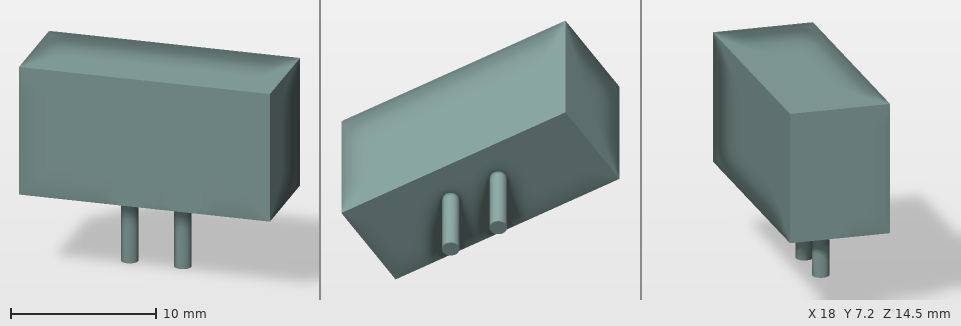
import cadquery as cq

housing_length = 18.01
housing_width = 7.2
housing_height = 9.4

total_height = 14.5
pin_length = total_height - housing_height
pin_diameter = 1.2
pin_spacing = 3.82
pin_row_y = -0.8


def make_housing():
    """Block with its underside on the plane Z = 0."""
    return cq.Workplane("XY").box(
        housing_length, housing_width, housing_height, centered=(True, True, False)
    )


def make_pin(x):
    """Round pin hanging down from the underside of the housing."""
    return cq.Workplane("XY").center(x, pin_row_y).circle(pin_diameter / 2).extrude(-pin_length)


housing = make_housing()

pins = []
for side in (-1, 1):
    pins.append(make_pin(side * pin_spacing / 2).val())

result = cq.Compound.makeCompound([housing.val(), *pins])